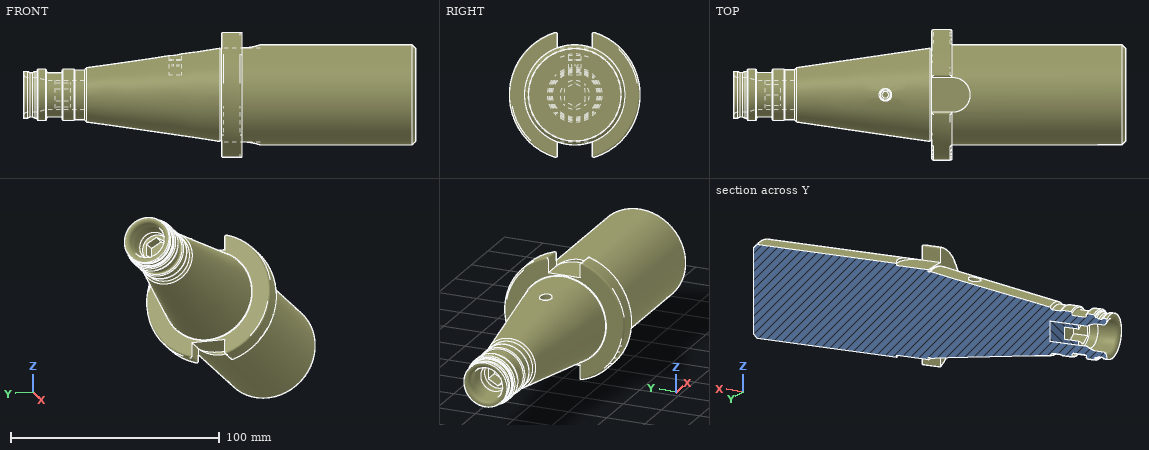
import cadquery as cq
import math

length = 188.4
body_radius = 24.1
body_end_chamfer = 1.9

tip_radius = 11.3
tip_groove_start = 1.9
tip_groove_end = 5.5
tip_groove_slope = 1.1
tip_groove_depth = 0.5
collar_start = 6.4
tail_radius = 12.5
tail_edge_chamfer = 0.5
grip_groove_start = 11.1
grip_groove_end = 18.5
grip_groove_radius = 10.7
grip_groove_fillet = 0.5
rear_land_start = 24.1
rear_land_step = 0.5
rear_land_radius = 12.0

rear_land_end = 29.2
taper_start = 30.3
taper_ratio = 7 / 24
gauge_end = 94.0
gauge_radius = 22.5
taper_start_radius = gauge_radius - (gauge_end - taper_start) * taper_ratio / 2

undercut_start = 94.4
undercut_radius = 22.0
flange_start = 95.1
flange_end = 105.0
flange_radius = 31.5
flange_fillet = 1.0
slot_width = 16.5
slot_floor = 22.6
slot_end = 113.6

bore_radius = 8.3
mouth_radius = 2.0
bore_depth = 6.2
bore_lip_end = 7.2
bore_lip_radius = 8.1
shoulder_x = 9.2
shoulder_radius = 7.5
thread_start = 10.5
thread_radius = 7.0
screw_front = 15.0
screw_length = 15.0
screw_socket_width = 10.0
screw_socket_depth = 7.5

set_screw_x = 73.0
set_screw_radius = 3.0
set_screw_top = 17.0
set_screw_length = 7.5
set_screw_socket_width = 3.0
set_screw_socket_depth = 3.0
set_screw_chamfer = 0.5


def make_holder_blank():
    """Turned outside of the holder, revolved about the X axis."""
    groove_floor_radius = tip_radius - tip_groove_depth
    chamfer_radius = tail_radius - tail_edge_chamfer
    profile = (
        cq.Workplane("XY")
        .moveTo(0, 0)
        .lineTo(0, tip_radius)
        .lineTo(tip_groove_start, tip_radius)
        .lineTo(tip_groove_start + tip_groove_slope, groove_floor_radius)
        .lineTo(tip_groove_end - tip_groove_slope, groove_floor_radius)
        .lineTo(tip_groove_end, tip_radius)
        .lineTo(collar_start, tip_radius)
        .lineTo(collar_start, chamfer_radius)
        .lineTo(collar_start + tail_edge_chamfer, tail_radius)
        .lineTo(grip_groove_start - tail_edge_chamfer, tail_radius)
        .lineTo(grip_groove_start, chamfer_radius)
        .lineTo(grip_groove_start, grip_groove_radius + grip_groove_fillet)
        .radiusArc(
            (grip_groove_start + grip_groove_fillet, grip_groove_radius), -grip_groove_fillet
        )
        .lineTo(grip_groove_end - grip_groove_fillet, grip_groove_radius)
        .radiusArc(
            (grip_groove_end, grip_groove_radius + grip_groove_fillet), -grip_groove_fillet
        )
        .lineTo(grip_groove_end, chamfer_radius)
        .lineTo(grip_groove_end + tail_edge_chamfer, tail_radius)
        .lineTo(rear_land_start, tail_radius)
        .lineTo(rear_land_start + rear_land_step, rear_land_radius)
        .lineTo(rear_land_end, rear_land_radius)
        .lineTo(taper_start, taper_start_radius)
        .lineTo(gauge_end, gauge_radius)
        .lineTo(undercut_start, gauge_radius)
        .lineTo(undercut_start, undercut_radius)
        .lineTo(flange_start, undercut_radius)
        .lineTo(flange_start, flange_radius)
        .lineTo(flange_end, flange_radius)
        .lineTo(flange_end, body_radius)
        .lineTo(length - body_end_chamfer, body_radius)
        .lineTo(length, body_radius - body_end_chamfer)
        .lineTo(length, 0)
        .close()
    )
    return profile.revolve(360, (0, 0, 0), (1, 0, 0))


def make_axial_bore():
    """Rounded mouth, plain bore narrowing in three cones, and screw hole."""
    screw_end = screw_front + screw_length
    profile = (
        cq.Workplane("XY")
        .moveTo(0, 0)
        .lineTo(0, bore_radius + mouth_radius)
        .radiusArc((mouth_radius, bore_radius), -mouth_radius)
        .lineTo(bore_depth, bore_radius)
        .lineTo(bore_lip_end, bore_lip_radius)
        .lineTo(shoulder_x, shoulder_radius)
        .lineTo(thread_start, thread_radius)
        .lineTo(screw_end, thread_radius)
        .lineTo(screw_end, 0)
        .close()
    )
    return profile.revolve(360, (0, 0, 0), (1, 0, 0))


def make_driving_slot():
    """Round-ended slot cutter above the upper slot floor."""
    slot_radius = slot_width / 2
    round_centre = slot_end - slot_radius
    return (
        cq.Workplane("XY", origin=(0, 0, slot_floor))
        .moveTo(flange_start, -slot_radius)
        .lineTo(round_centre, -slot_radius)
        .threePointArc((slot_end, 0), (round_centre, slot_radius))
        .lineTo(flange_start, slot_radius)
        .close()
        .extrude(flange_radius - slot_floor)
    )


def make_set_screw_hole():
    """Radial hole in the taper, down to the underside of the set screw."""
    return (
        cq.Workplane("XY", origin=(set_screw_x, 0, set_screw_top - set_screw_length))
        .circle(set_screw_radius)
        .extrude(flange_radius - set_screw_top + set_screw_length)
    )


def round_flange_rim(holder):
    """Fillet every edge of the flange rim, including those along the slots."""
    rim_box = cq.selectors.BoxSelector(
        (flange_start, -flange_radius, -flange_radius),
        (flange_end, flange_radius, flange_radius),
    )
    rim = holder.faces(rim_box).faces("%CYLINDER").edges()
    return rim.fillet(flange_fillet)


def make_holder():
    holder = make_holder_blank()
    upper_slot = make_driving_slot()
    for angle in (0, 180):
        holder = holder.cut(upper_slot.rotate((0, 0, 0), (1, 0, 0), angle))
    holder = round_flange_rim(holder)
    return holder.cut(make_axial_bore()).cut(make_set_screw_hole())


def hexagon_diameter(width_across_flats):
    return width_across_flats / math.cos(math.radians(30))


def make_bore_screw():
    """Headless screw in the axial bore, socket facing the tail end."""
    blank = cq.Workplane("YZ", origin=(screw_front, 0, 0)).circle(thread_radius).extrude(screw_length)
    socket = (
        cq.Workplane("YZ", origin=(screw_front, 0, 0))
        .polygon(6, hexagon_diameter(screw_socket_width))
        .extrude(screw_socket_depth)
        .rotate((0, 0, 0), (1, 0, 0), 90)
    )
    return blank.cut(socket)


def make_set_screw():
    """Headless screw in the taper, socket facing outwards."""
    return (
        cq.Workplane("XY", origin=(set_screw_x, 0, set_screw_top - set_screw_length))
        .circle(set_screw_radius)
        .extrude(set_screw_length)
        .faces(">Z")
        .workplane()
        .polygon(6, hexagon_diameter(set_screw_socket_width))
        .cutBlind(-set_screw_socket_depth)
        .faces(">Z")
        .edges("%CIRCLE")
        .chamfer(set_screw_chamfer)
    )


holder = make_holder()
bore_screw = make_bore_screw()
set_screw = make_set_screw()

result = cq.Compound.makeCompound([holder.val(), bore_screw.val(), set_screw.val()])